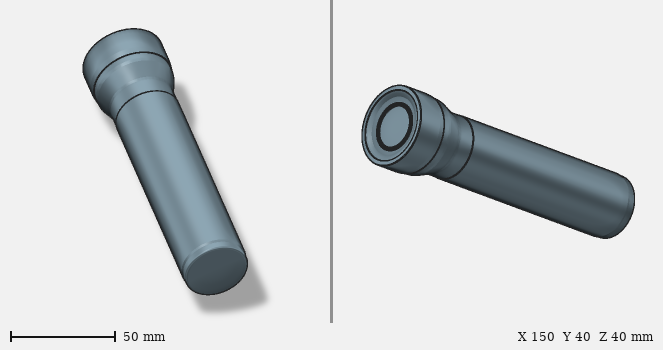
import cadquery as cq
import math

TOTAL_LENGTH = 150.0
HEAD_RADIUS = 40.0 / 2
COLLAR_RADIUS = 38.5 / 2
NECK_RADIUS = 31.5 / 2
BARREL_RADIUS = 32.0 / 2

RIM_CHAMFER_LENGTH = 0.5
RIM_CHAMFER_HEIGHT = 0.3
HEAD_ROUND_START = 13.2
HEAD_END = 16.3
HEAD_END_RADIUS = 19.6
FLARE_START = 20.8
FLARE_END = 30.6
FLARE_FRONT_BLEND = 1.8
FLARE_REAR_BLEND = 1.5
SEAM = 39.5

LIP_RADIUS = 17.7
LIP_FLOOR_RADIUS = 17.4
LIP_DEPTH = 0.3
BOWL_RADIUS = 16.3
BOWL_START_DEPTH = 0.7
BOWL_FLOOR_RADIUS = 14.5
BOWL_DEPTH = 1.6
DISH_FLOOR_RADIUS = 12.3
DISH_DEPTH = 2.1

LENS_RADIUS = 10.2
RING_GROOVE_DEPTH = 0.5
RING_COUNT = 3

BARREL_CHAMFER_LENGTH = 0.5
TAIL_TAPER_START = 144.7
TAIL_START = 146.0
TAIL_RADIUS = 15.6
TAIL_FILLET = 1.2

EDGE_MARGIN = 0.01


def turn(profile):
    """Revolve a closed (axial, radial) profile about the X axis."""
    return profile.close().revolve(360, (0, 0, 0), (1, 0, 0))


def ring_cut(start, end, inner, outer):
    """Annular cutter between two stations along X."""
    return (
        cq.Workplane("YZ").workplane(offset=start)
        .circle(outer).circle(inner).extrude(end - start)
    )


def head_blank():
    blank = turn(
        cq.Workplane("XY")
        .moveTo(0, 0)
        .lineTo(0, HEAD_RADIUS - RIM_CHAMFER_HEIGHT)
        .lineTo(RIM_CHAMFER_LENGTH, HEAD_RADIUS)
        .lineTo(HEAD_ROUND_START, HEAD_RADIUS)
        .tangentArcPoint((HEAD_END, HEAD_END_RADIUS), relative=False)
        .lineTo(HEAD_END, COLLAR_RADIUS)
        .lineTo(FLARE_START, COLLAR_RADIUS)
        .lineTo(FLARE_END, NECK_RADIUS)
        .lineTo(SEAM, NECK_RADIUS)
        .lineTo(SEAM, 0)
    )
    blank = round_corner(blank, FLARE_START, blend_radius(FLARE_FRONT_BLEND))
    return round_corner(blank, FLARE_END, blend_radius(FLARE_REAR_BLEND))


def blend_radius(axial_length):
    """Fillet radius whose arc spans the given length along X at an end of the flare."""
    flare_angle = math.atan2(COLLAR_RADIUS - NECK_RADIUS, FLARE_END - FLARE_START)
    return axial_length / math.sin(flare_angle)


def round_corner(body, station, radius):
    """Blend the circular edge that lies at one station along X."""
    box = cq.selectors.BoxSelector(
        (station - EDGE_MARGIN, -HEAD_RADIUS, -HEAD_RADIUS),
        (station + EDGE_MARGIN, HEAD_RADIUS, HEAD_RADIUS),
        boundingbox=True,
    )
    return body.edges(box).fillet(radius)


def front_recess():
    return turn(
        cq.Workplane("XY")
        .moveTo(0, 0)
        .lineTo(0, LIP_RADIUS)
        .lineTo(LIP_DEPTH, LIP_FLOOR_RADIUS)
        .lineTo(BOWL_START_DEPTH, BOWL_RADIUS)
        .lineTo(BOWL_DEPTH, BOWL_FLOOR_RADIUS)
        .lineTo(DISH_DEPTH, DISH_FLOOR_RADIUS)
        .lineTo(DISH_DEPTH, 0)
    )


def make_head():
    head = head_blank().cut(front_recess())
    ring_pitch = (DISH_FLOOR_RADIUS - LENS_RADIUS) / RING_COUNT
    for index in range(RING_COUNT):
        inner = LENS_RADIUS + index * ring_pitch
        outer = inner + ring_pitch / 2
        head = head.cut(ring_cut(DISH_DEPTH, DISH_DEPTH + RING_GROOVE_DEPTH, inner, outer))
    return head


def make_barrel():
    barrel = turn(
        cq.Workplane("XY")
        .moveTo(SEAM, 0)
        .lineTo(SEAM, NECK_RADIUS)
        .lineTo(SEAM + BARREL_CHAMFER_LENGTH, BARREL_RADIUS)
        .lineTo(TAIL_TAPER_START, BARREL_RADIUS)
        .lineTo(TAIL_START, TAIL_RADIUS)
        .lineTo(TOTAL_LENGTH, TAIL_RADIUS)
        .lineTo(TOTAL_LENGTH, 0)
    )
    return barrel.faces(">X").edges().fillet(TAIL_FILLET)


head = make_head()
barrel = make_barrel()

result = cq.Compound.makeCompound([head.val(), barrel.val()])